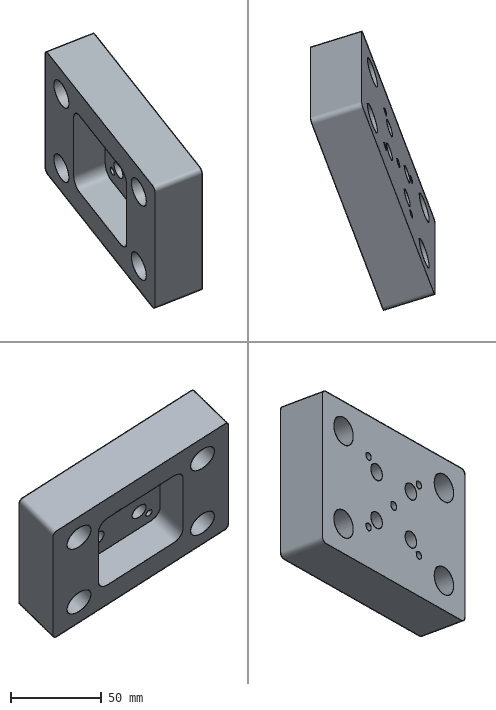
import cadquery as cq

width = 125.0
thickness = 30.0
height = 95.0
corner_radius = 3.0

pocket_side = 60.0
pocket_depth = 20.0
pocket_corner_radius = 7.0

mount_diameter = 17.0
mount_spacing_x = 88.0
mount_spacing_z = 58.0

bolt_diameter = 10.0
bolt_spacing = 30.0
pin_diameter = 4.5
pin_spacing = 44.0
center_diameter = 5.1


def front_plane():
    """Sketch plane on the -Y face; extruding by a negative length goes into the plate."""
    return cq.Workplane("XZ", origin=(0, -thickness / 2, 0))


def rounded_block(size_x, size_z, depth, radius):
    """Block running from the -Y face into the plate, with its edges along Y rounded."""
    return front_plane().rect(size_x, size_z).extrude(-depth).edges("|Y").fillet(radius)


def through_holes(diameter, spacing_x, spacing_z):
    """Four cylinders through the whole thickness on a rectangular pattern."""
    return (
        front_plane()
        .rarray(spacing_x, spacing_z, 2, 2)
        .circle(diameter / 2)
        .extrude(-thickness)
    )


plate = rounded_block(width, height, thickness, corner_radius)
pocket = rounded_block(pocket_side, pocket_side, pocket_depth, pocket_corner_radius)
center_hole = front_plane().circle(center_diameter / 2).extrude(-thickness)

result = (
    plate.cut(pocket)
    .cut(through_holes(mount_diameter, mount_spacing_x, mount_spacing_z))
    .cut(through_holes(bolt_diameter, bolt_spacing, bolt_spacing))
    .cut(through_holes(pin_diameter, pin_spacing, pin_spacing))
    .cut(center_hole)
)